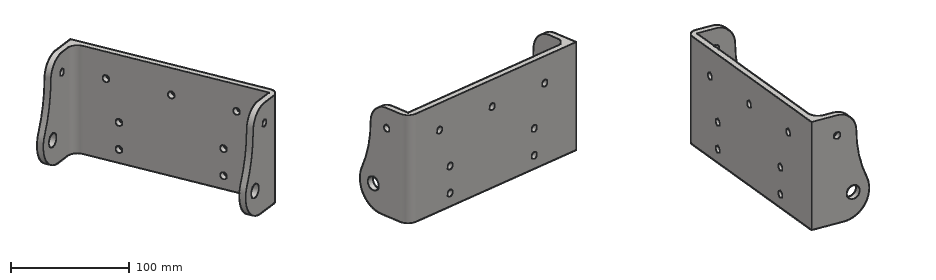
import cadquery as cq
import math

width = 203.45
depth = 57.15
height = 101.6
thickness = 6.35

bend_radius = 9.525

top_radius = 19.05
top_center_reach = 25.4
top_center_z = height - top_radius
neck_reach = top_center_reach + top_radius
nose_radius = 25.4
nose_center_reach = depth - nose_radius
nose_center_z = nose_radius

small_hole_diameter = 6.35
pivot_hole_diameter = 12.7
pivot_hole_reach = 41.275

plate_hole_diameter = 6.35
upper_hole_inset = 38.1
upper_hole_z = 76.2
lower_hole_inset = 50.8
lower_hole_heights = (12.7, 38.1)


def make_channel():
    """U-shaped bar with its rear face on Y = 0 and its left face on X = 0."""
    inner_width = width - 2 * thickness
    inner_depth = depth - thickness
    outer = cq.Workplane("XY").box(width, depth, height, centered=False)
    outer = outer.translate((0, -depth, 0)).edges("|Z and >X and >Y").fillet(bend_radius)
    inner = cq.Workplane("XY").box(inner_width, inner_depth, height, centered=False)
    inner = inner.translate((thickness, -depth, 0)).edges("|Z and <X and >Y").fillet(bend_radius)
    return outer.cut(inner)


def make_side_profile():
    """Flange outline extruded over the full width.

    The concave neck is vertical where it leaves the top corner and tangent to the nose.
    """
    rise = top_center_z - nose_center_z
    run = neck_reach - nose_center_reach
    neck_radius = (run**2 + rise**2 - nose_radius**2) / (2 * (nose_radius - run))
    nose_angle = math.asin(rise / (nose_radius + neck_radius))
    nose_end_reach = nose_center_reach + nose_radius * math.cos(nose_angle)
    nose_end_z = nose_center_z + nose_radius * math.sin(nose_angle)
    return (
        cq.Workplane("YZ")
        .lineTo(0, height)
        .lineTo(-top_center_reach, height)
        .tangentArcPoint((-neck_reach, top_center_z), relative=False)
        .tangentArcPoint((-nose_end_reach, nose_end_z), relative=False)
        .tangentArcPoint((-depth, nose_center_z), relative=False)
        .tangentArcPoint((-nose_center_reach, 0), relative=False)
        .close()
        .extrude(width)
    )


def make_flange_hole(reach, z, diameter):
    """Cylinder along X that passes through both flanges."""
    return cq.Workplane("YZ").center(-reach, z).circle(diameter / 2).extrude(width)


def make_plate_holes():
    """Cylinders along Y that pass through the rear plate."""
    upper_points = [(x, upper_hole_z) for x in (upper_hole_inset, width / 2, width - upper_hole_inset)]
    lower_points = [
        (x, z)
        for x in (lower_hole_inset, width - lower_hole_inset)
        for z in lower_hole_heights
    ]
    return (
        cq.Workplane("XZ")
        .pushPoints(upper_points + lower_points)
        .circle(plate_hole_diameter / 2)
        .extrude(thickness)
    )


result = make_channel().intersect(make_side_profile(), clean=False)
result = result.cut(make_flange_hole(top_center_reach, top_center_z, small_hole_diameter), clean=False)
result = result.cut(make_flange_hole(pivot_hole_reach, nose_center_z, pivot_hole_diameter), clean=False)
result = result.cut(make_plate_holes(), clean=False)